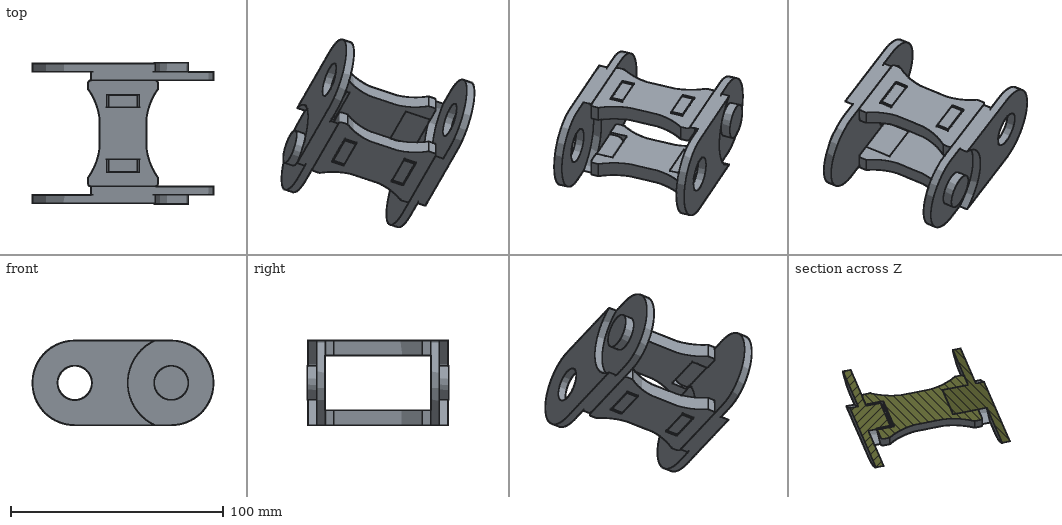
import cadquery as cq
import math

length = 85.5
height = 40.0
end_radius = height / 2
pivot_x = length / 2 - end_radius

layer = 4.0
inner_face_y = 25.0
middle_y = inner_face_y + layer
outer_face_y = middle_y + layer
bore_diameter = 16.1
pin_protrusion = 0.385
pin_top_y = outer_face_y + pin_protrusion
relief_radius = 22.0
relief_reach = 2.2
relief_x = relief_reach + relief_radius

bar_thickness = 7.2
bar_outer_z = height / 2
bar_inner_z = bar_outer_z - bar_thickness
bar_half_width = 16.5
waist_half_width = 11.1
waist_half_length = 7.0
flare_end_y = 20.9
flare_radius = 30.0
corner_radius = 1.2

pocket_width = 18.3
snap_tongue_width = 16.85
snap_tongue_recess = 0.6
snap_tongue_end_y = 17.7
snap_tongue_round = 4.0
snap_pocket_end_y = 16.6
toe_end_y = 12.3
toe_thickness = 1.4

roof_thickness = 1.0
slot_width = 15.5
slot_outer_y = 18.3
head_width = 13.5
head_gap = 0.25

tongue_outer_z = bar_outer_z - roof_thickness
snap_tongue_inner_z = bar_inner_z + snap_tongue_recess
toe_inner_z = tongue_outer_z - toe_thickness


def block(width, y_range, z_range):
    """Box centred on X, between two Y and two Z positions."""
    y_low, y_high = y_range
    z_low, z_high = z_range
    return cq.Workplane("XY").box(width, y_high - y_low, z_high - z_low).translate(
        (0, (y_low + y_high) / 2, (z_low + z_high) / 2)
    )


def cylinder_y(x, radius, y_low, y_high):
    """Cylinder parallel to Y, on the mid-height of the link."""
    return cq.Workplane("XZ", origin=(x, y_low, 0)).circle(radius).extrude(y_low - y_high)


def plate_layer(y_low, y_high):
    """Full stadium outline of a side plate, one layer thick."""
    return (
        cq.Workplane("XZ", origin=(0, y_low, 0))
        .slot2D(length, height)
        .extrude(y_low - y_high)
    )


def tongue_head():
    """Raised head that stands in the slot, flush with the outer face of the crossbar."""
    return block(head_width, (toe_end_y, slot_outer_y - head_gap), (tongue_outer_z, bar_outer_z))


def snap_tongue():
    """Tongue with a rounded inner edge and a thin toe under its head."""
    tip_offset = snap_tongue_round * (1 - math.sqrt(0.5))
    body = (
        cq.Workplane("YZ", origin=(-snap_tongue_width / 2, 0, 0))
        .moveTo(inner_face_y, tongue_outer_z)
        .lineTo(toe_end_y, tongue_outer_z)
        .lineTo(toe_end_y, toe_inner_z)
        .lineTo(snap_tongue_end_y, toe_inner_z)
        .lineTo(snap_tongue_end_y, snap_tongue_inner_z + snap_tongue_round)
        .threePointArc(
            (snap_tongue_end_y + tip_offset, snap_tongue_inner_z + tip_offset),
            (snap_tongue_end_y + snap_tongue_round, snap_tongue_inner_z),
        )
        .lineTo(inner_face_y, snap_tongue_inner_z)
        .close()
        .extrude(snap_tongue_width)
    )
    return body.union(tongue_head())


def flat_tongue_block():
    """Plain block of the flat tongue, flush with the inner face of the crossbar."""
    return block(pocket_width, (toe_end_y, inner_face_y), (bar_inner_z, tongue_outer_z))


def flat_tongue():
    """Flat tongue with its head."""
    return flat_tongue_block().union(tongue_head())


def side_plate(tongue):
    """Side plate on the +Y side, with its pin and a tongue for each of the two crossbars."""
    outer = plate_layer(middle_y, outer_face_y)
    outer = outer.cut(cylinder_y(relief_x, relief_radius, middle_y, outer_face_y))
    outer = outer.cut(cylinder_y(-pivot_x, bore_diameter / 2, middle_y, outer_face_y))
    inner = plate_layer(inner_face_y, middle_y)
    inner = inner.cut(cylinder_y(-relief_x, relief_radius, inner_face_y, middle_y))
    pin = cylinder_y(pivot_x, bore_diameter / 2, middle_y, pin_top_y)
    plate = outer.union(inner).union(pin)
    return plate.union(tongue).union(tongue.mirror("XY"))


def bar_blank():
    """Waisted crossbar with concave flares towards both ends and rounded end corners."""
    return (
        cq.Workplane("XY", origin=(0, 0, bar_inner_z))
        .moveTo(waist_half_width, -waist_half_length)
        .lineTo(waist_half_width, waist_half_length)
        .radiusArc((bar_half_width, flare_end_y), flare_radius)
        .lineTo(bar_half_width, inner_face_y)
        .lineTo(-bar_half_width, inner_face_y)
        .lineTo(-bar_half_width, flare_end_y)
        .radiusArc((-waist_half_width, waist_half_length), flare_radius)
        .lineTo(-waist_half_width, -waist_half_length)
        .radiusArc((-bar_half_width, -flare_end_y), flare_radius)
        .lineTo(-bar_half_width, -inner_face_y)
        .lineTo(bar_half_width, -inner_face_y)
        .lineTo(bar_half_width, -flare_end_y)
        .radiusArc((waist_half_width, -waist_half_length), flare_radius)
        .close()
        .extrude(bar_thickness)
        .edges("|Z and (>Y or <Y)")
        .fillet(corner_radius)
    )


def head_slot():
    """Slot through the outer skin of the crossbar, around the head of a tongue."""
    return block(slot_width, (toe_end_y, slot_outer_y), (tongue_outer_z, bar_outer_z))


def snap_cavity():
    """Pocket, toe recess and slot that receive a snap tongue."""
    pocket = block(
        pocket_width, (snap_pocket_end_y, inner_face_y), (bar_inner_z, tongue_outer_z)
    )
    toe_recess = block(
        pocket_width, (toe_end_y, snap_pocket_end_y), (toe_inner_z, tongue_outer_z)
    )
    return pocket.union(toe_recess).union(head_slot())


def flat_cavity():
    """Close-fitting pocket and slot that receive a flat tongue."""
    return flat_tongue_block().union(head_slot())


def crossbar():
    """Upper crossbar: snap cavity at the +Y end, flat cavity at the -Y end."""
    return bar_blank().cut(snap_cavity()).cut(flat_cavity().mirror("XZ"))


back_plate = side_plate(snap_tongue())
front_plate = side_plate(flat_tongue()).mirror("XZ")
upper_bar = crossbar()
lower_bar = upper_bar.mirror("XY")

bodies = [back_plate, front_plate, upper_bar, lower_bar]
result = cq.Compound.makeCompound([body.solids().val() for body in bodies])